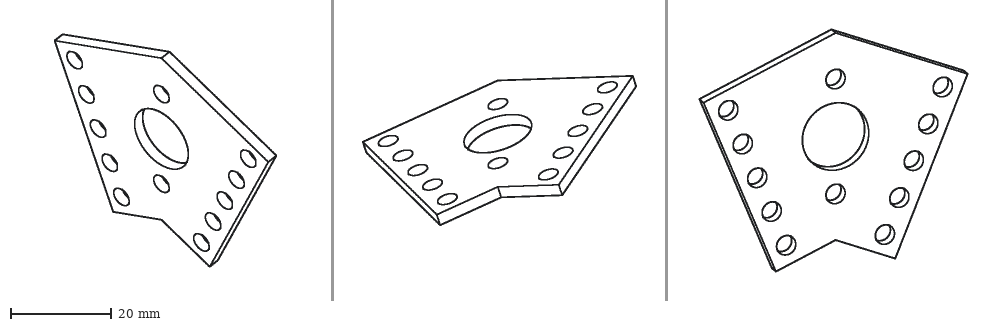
import cadquery as cq
import math

width = 55.85
thickness = 2.5
height = 48.55
edge_slope = math.radians(22.5)

bore_diameter = 14.0
hole_diameter = 4.0
bore_hole_offset = 12.0
row_count = 5
row_pitch = 8.0
row_inset = 4.0

half_width = width / 2
shoulder_drop = half_width * math.tan(edge_slope)
side_drop = height - shoulder_drop
foot_x = half_width - side_drop * math.tan(edge_slope)
notch_rise = foot_x * math.tan(edge_slope)
apex_z = (height - notch_rise) / 2
notch_z = -apex_z
shoulder_z = apex_z - shoulder_drop
foot_z = apex_z - height


def plate():
    """Symmetric plate with a pointed top and a notched bottom, with its back face on Y = 0."""
    outline = [
        (0, apex_z),
        (half_width, shoulder_z),
        (foot_x, foot_z),
        (0, notch_z),
        (-foot_x, foot_z),
        (-half_width, shoulder_z),
    ]
    return cq.Workplane("XZ").polyline(outline).close().extrude(thickness)


def row_points(side):
    """Hole centres parallel to one side edge; side is +1 for +X or -1 for -X."""
    middle_x = (half_width + foot_x) / 2 - row_inset * math.cos(edge_slope)
    middle_z = (shoulder_z + foot_z) / 2 + row_inset * math.sin(edge_slope)
    points = []
    for index in range(row_count):
        along = (index - (row_count - 1) / 2) * row_pitch
        x = middle_x + along * math.sin(edge_slope)
        z = middle_z + along * math.cos(edge_slope)
        points.append((side * x, z))
    return points


def through_holes(points, diameter):
    """Cylinders along Y that pass through the whole plate."""
    return cq.Workplane("XZ").pushPoints(points).circle(diameter / 2).extrude(thickness)


small_holes = [(0, bore_hole_offset), (0, -bore_hole_offset)] + row_points(1) + row_points(-1)

result = plate()
result = result.cut(through_holes([(0, 0)], bore_diameter))
result = result.cut(through_holes(small_holes, hole_diameter))